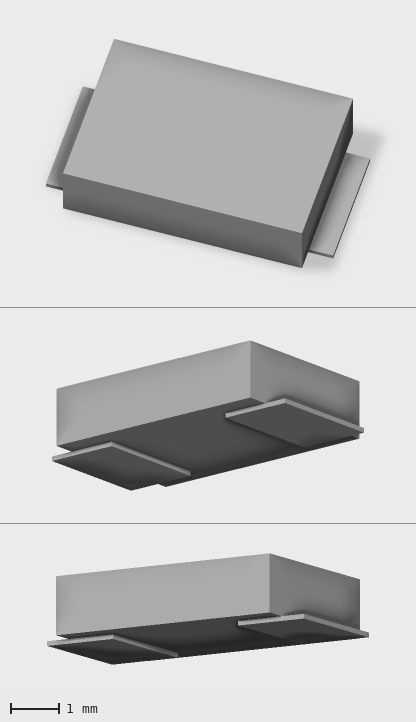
import cadquery as cq

overall_length = 6.25
overall_height = 1.35

lead_length = 1.6
lead_width = 2.6
lead_thickness = 0.1

body_length = 5.2
body_width = 3.6
body_height = overall_height - lead_thickness


def make_body():
    """Plain block whose underside lies on top of the leads."""
    return (
        cq.Workplane("XY")
        .workplane(offset=lead_thickness)
        .rect(body_length, body_width)
        .extrude(body_height)
    )


def make_lead(side):
    """Flat lead at the -X end (side = -1) or the +X end (side = 1)."""
    center_x = side * (overall_length - lead_length) / 2
    return (
        cq.Workplane("XY")
        .center(center_x, 0)
        .rect(lead_length, lead_width)
        .extrude(lead_thickness)
    )


body = make_body()
leads = [make_lead(side) for side in (-1, 1)]

result = cq.Compound.makeCompound([body.val(), *(lead.val() for lead in leads)])